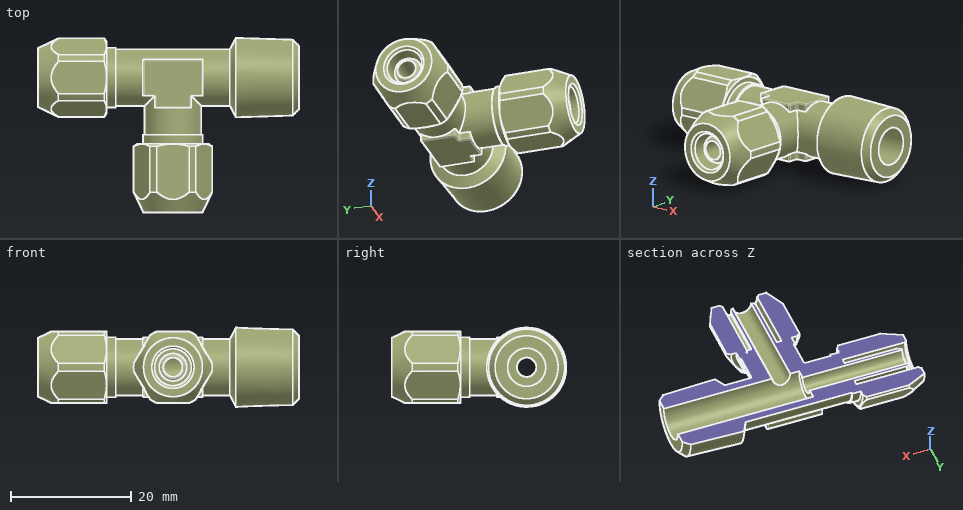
import cadquery as cq
import math


NUT_END_REACH = 22.5
MALE_END_REACH = 43.5 - NUT_END_REACH

PIPE_RADIUS = 4.75
BORE_RADIUS = 3.18 / 2

COLLAR_RADIUS = 5.0
COLLAR_LENGTH = 1.52

NUT_LENGTH = 11.5
NUT_ACROSS_FLATS = 11.95
NUT_CORNER_RADIUS = 6.55
NUT_FRONT_RADIUS = 4.9
NUT_FRONT_TAPER_LENGTH = 3.45
NUT_REAR_RADIUS = 5.9
NUT_REAR_CHAMFER_LENGTH = 0.45

SOCKET_RADIUS = 6.15 / 2
SOCKET_MOUTH_RADIUS = 3.52
SOCKET_MOUTH_DEPTH = 0.45
SOCKET_DEPTH = NUT_LENGTH
SLEEVE_RADIUS = 2.3
SLEEVE_TIP_RADIUS = 2.0
SLEEVE_TIP_DEPTH = 1.5
SLEEVE_TIP_TAPER_LENGTH = 0.65
SLEEVE_TIP_ROUNDING = 0.25

MALE_LENGTH = 11.53
MALE_MAX_RADIUS = 13.25 / 2
MALE_REAR_CHAMFER_LENGTH = 1.0
MALE_TIP_CHAMFER = 1.1
TAPER_PER_LENGTH = 1 / 32
MALE_BORE_RADIUS = 3.18

PAD_HALF_HEIGHT = 5.0
PAD_REACH = 5.0
PAD_HALF_WIDTH = 3.05
PAD_EDGE_ROUNDING = 0.2


def revolve_about_x(profile):
    """Revolve a closed (axial position, radius) profile about the X axis."""
    return cq.Workplane("XY").polyline(profile).close().revolve(360, (0, 0, 0), (1, 0, 0))


def rod(start, end, radius):
    """Solid cylinder on the X axis between two axial positions."""
    return cq.Workplane("YZ").workplane(offset=start).circle(radius).extrude(end - start)


def nut_body():
    """Hexagonal nut with flats facing up and down, its open face at -X."""
    front = -NUT_END_REACH
    rear = front + NUT_LENGTH
    corner_diameter = NUT_ACROSS_FLATS / math.cos(math.pi / 6)
    hexagon = (
        cq.Workplane("YZ").workplane(offset=front).polygon(6, corner_diameter).extrude(NUT_LENGTH)
    )
    envelope = revolve_about_x([
        (front, 0),
        (front, NUT_FRONT_RADIUS),
        (front + NUT_FRONT_TAPER_LENGTH, NUT_CORNER_RADIUS),
        (rear - NUT_REAR_CHAMFER_LENGTH, NUT_CORNER_RADIUS),
        (rear, NUT_REAR_RADIUS),
        (rear, 0),
    ])
    return hexagon.intersect(envelope)


def nut_arm():
    """Pipe, collar and nut pointing toward -X."""
    nut_rear = -NUT_END_REACH + NUT_LENGTH
    pipe = rod(nut_rear, 0, PIPE_RADIUS)
    collar = rod(nut_rear, nut_rear + COLLAR_LENGTH, COLLAR_RADIUS)
    return pipe.union(collar).union(nut_body())


def nut_arm_cavity():
    """Tube socket around the support sleeve, and the bore up to the crossing."""
    mouth = -NUT_END_REACH
    floor = mouth + SOCKET_DEPTH
    tip = mouth + SLEEVE_TIP_DEPTH
    sleeve_shoulder = tip + SLEEVE_TIP_TAPER_LENGTH
    socket = revolve_about_x([
        (mouth, 0),
        (mouth, SOCKET_MOUTH_RADIUS),
        (mouth + SOCKET_MOUTH_DEPTH, SOCKET_RADIUS),
        (floor, SOCKET_RADIUS),
        (floor, 0),
    ])
    sleeve = revolve_about_x([
        (tip, 0),
        (tip, SLEEVE_TIP_RADIUS),
        (sleeve_shoulder, SLEEVE_RADIUS),
        (floor, SLEEVE_RADIUS),
        (floor, 0),
    ])
    sleeve = sleeve.faces("<X").edges().fillet(SLEEVE_TIP_ROUNDING)
    return socket.cut(sleeve).union(rod(mouth, 0, BORE_RADIUS))


def male_arm():
    """Pipe and tapered male end pointing toward +X."""
    rear = MALE_END_REACH - MALE_LENGTH
    shoulder = rear + MALE_REAR_CHAMFER_LENGTH
    tip_shoulder = MALE_END_REACH - MALE_TIP_CHAMFER
    tip_shoulder_radius = MALE_MAX_RADIUS - TAPER_PER_LENGTH * (tip_shoulder - shoulder)
    body = revolve_about_x([
        (rear, 0),
        (rear, PIPE_RADIUS),
        (shoulder, MALE_MAX_RADIUS),
        (tip_shoulder, tip_shoulder_radius),
        (MALE_END_REACH, tip_shoulder_radius - MALE_TIP_CHAMFER),
        (MALE_END_REACH, 0),
    ])
    return body.union(rod(0, rear, PIPE_RADIUS))


def crossing_pads():
    """T-shaped block whose rounded top and bottom stand proud of the pipes."""
    outline = [
        (-PAD_REACH, PAD_HALF_WIDTH),
        (-PAD_REACH, -PAD_HALF_WIDTH),
        (-PAD_HALF_WIDTH, -PAD_HALF_WIDTH),
        (-PAD_HALF_WIDTH, -PAD_REACH),
        (PAD_HALF_WIDTH, -PAD_REACH),
        (PAD_HALF_WIDTH, -PAD_HALF_WIDTH),
        (PAD_REACH, -PAD_HALF_WIDTH),
        (PAD_REACH, PAD_HALF_WIDTH),
    ]
    block = cq.Workplane("XY").polyline(outline).close().extrude(PAD_HALF_HEIGHT, both=True)
    block = block.edges("|Z").fillet(PAD_EDGE_ROUNDING)
    return block.faces("<Z or >Z").edges().fillet(PAD_EDGE_ROUNDING)


def turn_to_branch(shape):
    """Turn a shape pointing toward -X so that it points toward -Y."""
    return shape.rotate((0, 0, 0), (0, 0, 1), 90)


result = male_arm().union(crossing_pads())
for solid in (nut_arm(), turn_to_branch(nut_arm())):
    result = result.union(solid)

result = result.cut(rod(-MALE_BORE_RADIUS, MALE_END_REACH, MALE_BORE_RADIUS))
for cavity in (nut_arm_cavity(), turn_to_branch(nut_arm_cavity())):
    result = result.cut(cavity)